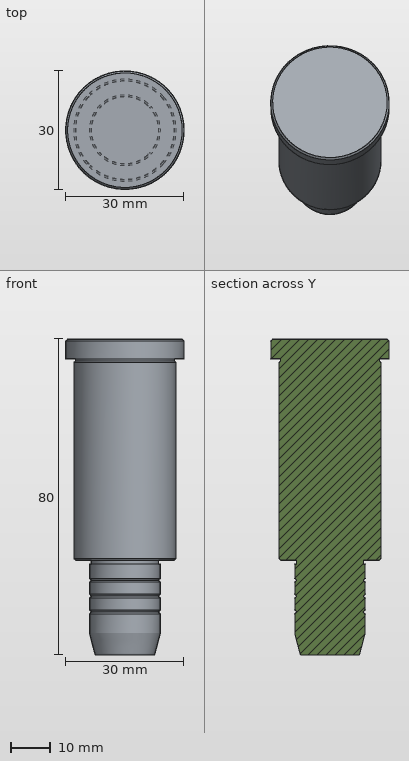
import cadquery as cq

total_height = 80.0
shoulder_height = 24.0
taper_height = 5.5
head_thickness = 5.0

head_diameter = 30.0
head_radius = head_diameter / 2
body_radius = 13.0
pilot_radius = 9.0
tip_radius = 7.5

edge_chamfer = 0.5
tip_fillet = 0.5

relief_depth = 0.4
relief_width = 1.0
relief_runout = 0.4

neck_radius = 8.6
neck_width = 1.0

groove_count = 3
groove_pitch = 4.0
first_groove_height = 10.5
groove_width = 1.0
groove_depth = 0.5


def cylinder(radius, bottom, top):
    return cq.Workplane("XY").workplane(offset=bottom).circle(radius).extrude(top - bottom)


def revolve_profile(points):
    """Solid of revolution about Z from (radius, height) points."""
    return cq.Workplane("XZ").polyline(points).close().revolve(360, (0, 0, 0), (0, 1, 0))


def make_head():
    head = cylinder(head_radius, total_height - head_thickness, total_height)
    return head.faces(">Z").edges().chamfer(edge_chamfer)


def make_body():
    head_bottom = total_height - head_thickness
    body = cylinder(body_radius, shoulder_height, head_bottom)
    body = body.faces("<Z").edges().chamfer(edge_chamfer)
    relief_bottom = head_bottom - relief_width
    relief_radius = body_radius - relief_depth
    clear_radius = body_radius + relief_depth
    relief = revolve_profile([
        (body_radius, relief_bottom),
        (relief_radius, relief_bottom + relief_runout),
        (relief_radius, head_bottom),
        (clear_radius, head_bottom),
        (clear_radius, relief_bottom),
    ])
    return body.cut(relief)


def make_groove_cutter(bottom):
    top = bottom + groove_width
    clear_radius = pilot_radius + groove_depth
    return revolve_profile([
        (pilot_radius, bottom),
        (pilot_radius - groove_depth, bottom + groove_width / 2),
        (pilot_radius, top),
        (clear_radius, top),
        (clear_radius, bottom),
    ])


def make_pilot():
    neck_bottom = shoulder_height - neck_width
    profile = [
        (0, 0),
        (tip_radius, 0),
        (pilot_radius, taper_height),
        (pilot_radius, neck_bottom),
        (neck_radius, neck_bottom),
        (neck_radius, shoulder_height),
        (0, shoulder_height),
    ]
    pilot = revolve_profile(profile)
    pilot = pilot.faces("<Z").edges().fillet(tip_fillet)
    for index in range(groove_count):
        bottom = first_groove_height + index * groove_pitch
        pilot = pilot.cut(make_groove_cutter(bottom))
    return pilot


result = make_head().union(make_body()).union(make_pilot())